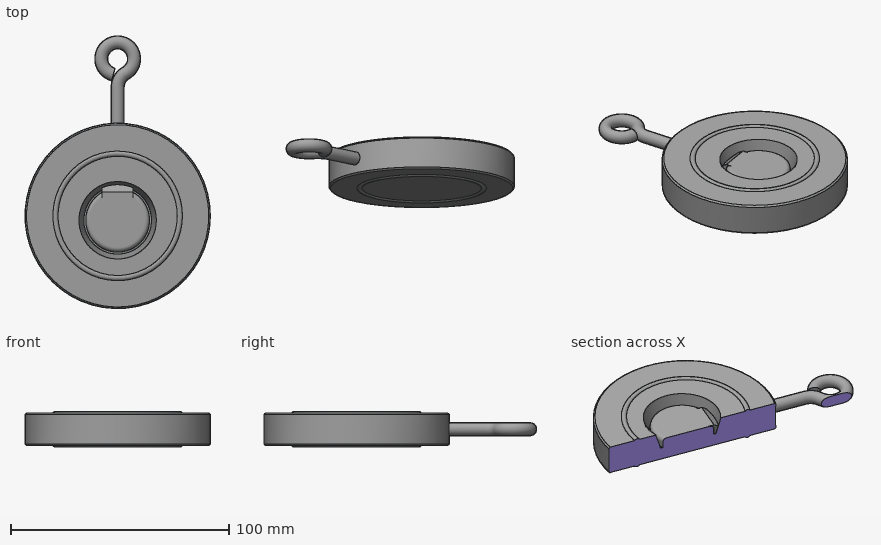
import cadquery as cq
import math

body_diameter = 85.0
body_height = 15.0
body_chamfer = 0.7
top_z = body_height / 2

overall_height = 16.4
seal_wire_radius = 1.4
seal_centre_radius = 28.5
seal_centre_z = overall_height / 2 - seal_wire_radius

bore_centre_y = -2.0
bore_top_radius = 17.7
bore_floor_radius = 15.5
bore_taper_angle = 15.0
bore_depth = (bore_top_radius - bore_floor_radius) / math.tan(math.radians(bore_taper_angle))
floor_z = top_z - bore_depth

flap_radius = 14.6
flap_rim_round = 2.0
flap_top_z = 4.2
flap_height = flap_top_z - floor_z
tab_width = 14.2
tab_flat_length = 12.9
tab_slope_angle = 32.0

overall_length = 125.0
wire_radius = 3.0
eye_radius = 7.5
eye_centre_y = overall_length - body_diameter / 2 - wire_radius - eye_radius
bend_angle = 60.0
eye_end_angle = 255.0
shank_inset = 5.0


def make_body():
    disc = cq.Workplane("XY").cylinder(body_height, body_diameter / 2)
    return disc.faces("<Z or >Z").edges().chamfer(body_chamfer)


def make_seal(centre_z):
    return cq.Workplane("XY").add(
        cq.Solid.makeTorus(seal_centre_radius, seal_wire_radius, cq.Vector(0, 0, centre_z))
    )


def make_bore():
    """Cone frustum, wide at the top face and narrowing to the floor."""
    return cq.Workplane("XY").add(
        cq.Solid.makeCone(
            bore_floor_radius,
            bore_top_radius,
            bore_depth,
            pnt=cq.Vector(0, bore_centre_y, floor_z),
        )
    )


def make_tab_block(tip_z):
    """Block running in +Y from the bore axis, sloping past the flat to tip_z at its end."""
    return (
        cq.Workplane("YZ", origin=(0, bore_centre_y, 0))
        .moveTo(0, floor_z)
        .lineTo(0, flap_top_z)
        .lineTo(tab_flat_length, flap_top_z)
        .lineTo(bore_top_radius, tip_z)
        .lineTo(bore_top_radius, floor_z)
        .close()
        .extrude(tab_width / 2, both=True)
    )


def make_flap():
    plate = (
        cq.Workplane("XY", origin=(0, bore_centre_y, floor_z))
        .circle(flap_radius)
        .extrude(flap_height)
        .faces(">Z")
        .edges()
        .fillet(flap_rim_round)
    )
    slope_run = bore_top_radius - tab_flat_length
    slope_drop = slope_run * math.tan(math.radians(tab_slope_angle))
    plate = plate.cut(make_tab_block(flap_top_z))
    tab = make_tab_block(flap_top_z - slope_drop).intersect(make_bore())
    return plate.union(tab)


def eye_point(angle):
    """Point on the eye's centre circle at an angle measured from +X."""
    return (
        eye_radius * math.cos(math.radians(angle)),
        eye_centre_y + eye_radius * math.sin(math.radians(angle)),
    )


def make_lifting_eye():
    """Straight shank, a bend to +X, then the open ring curling back towards the bend."""
    bend_start_y = eye_centre_y - 2 * eye_radius * math.sin(math.radians(bend_angle))
    half_bend = math.radians(bend_angle / 2)
    bend_middle = (
        eye_radius * (1 - math.cos(half_bend)),
        bend_start_y + eye_radius * math.sin(half_bend),
    )
    shank_start_y = body_diameter / 2 - shank_inset
    profile = cq.Workplane("XZ", origin=(0, shank_start_y, 0)).circle(wire_radius)
    stem_path = (
        cq.Workplane("XY")
        .moveTo(0, shank_start_y)
        .lineTo(0, bend_start_y)
        .threePointArc(bend_middle, eye_point(-bend_angle))
    )
    stem = profile.sweep(stem_path)

    ring_sweep = eye_end_angle + bend_angle
    ring = (
        cq.Workplane("XZ")
        .center(eye_radius, 0)
        .circle(wire_radius)
        .revolve(ring_sweep, (-eye_radius, 0), (-eye_radius, 1))
        .rotate((0, 0, 0), (0, 0, 1), -bend_angle)
        .translate((0, eye_centre_y, 0))
    )
    return stem.union(ring)


result = (
    make_body()
    .union(make_seal(seal_centre_z))
    .union(make_seal(-seal_centre_z))
    .cut(make_bore())
    .union(make_flap())
    .union(make_lifting_eye())
)